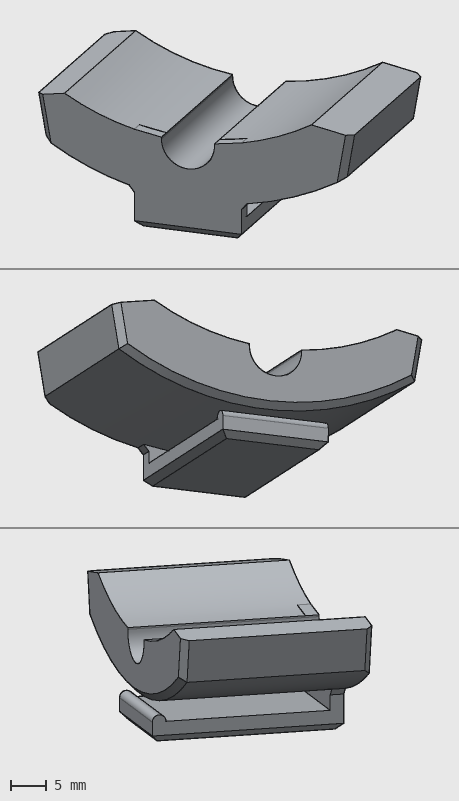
import cadquery as cq
import math

width = 47.35
length = 28.0
height = 18.6
edge_chamfer = 1.0
end_lean = 10.0
inner_radius = 37.5
peak_half_span = 18.5
left_rim = 4.3
left_end_height = 6.3
right_end_height = 6.35
outer_radius = 42.85
outer_centre_x = 1.3
outer_bottom_z = 4.95

groove_radius = 4.0
groove_centre_z = 13.7

clip_width = 16.1
clip_half_width = clip_width / 2
wall_thickness = 2.0
tongue_thickness = 3.0
bead_radius = 1.0
root_bevel = 0.8

inner_centre_z = height + math.sqrt(inner_radius**2 - peak_half_span**2)
outer_centre_z = outer_bottom_z + outer_radius
lean_cos = math.cos(math.radians(end_lean))
lean_sin = math.sin(math.radians(end_lean))
right_rim = (width - 2 * peak_half_span) / lean_cos - left_rim


def inner_z(x):
    """Height of the concave face at x."""
    return inner_centre_z - math.sqrt(inner_radius**2 - x**2)


def outer_z(x):
    """Height of the convex face at x."""
    return outer_centre_z - math.sqrt(outer_radius**2 - (x - outer_centre_x) ** 2)


def end_corners(side, rim, end_height):
    """Upper and lower corner of a leaning end; side is -1 (left) or 1 (right)."""
    upper_x = side * (peak_half_span + rim * lean_cos)
    upper_z = height - rim * lean_sin
    lower_x = upper_x - side * end_height * lean_sin
    return (upper_x, upper_z), (lower_x, outer_z(lower_x))


def extrude_back(profile, depth):
    """Extrude an XZ profile from the -Y face (y = 0) toward +Y."""
    return profile.extrude(-depth)


def make_saddle():
    left_upper, left_lower = end_corners(-1, left_rim, left_end_height)
    right_upper, right_lower = end_corners(1, right_rim, right_end_height)
    profile = (
        cq.Workplane("XZ")
        .moveTo(*left_upper)
        .lineTo(-peak_half_span, height)
        .threePointArc((0, inner_z(0)), (peak_half_span, height))
        .lineTo(*right_upper)
        .lineTo(*right_lower)
        .threePointArc((outer_centre_x, outer_bottom_z), left_lower)
        .close()
    )
    saddle = extrude_back(profile, length)

    back_bottom = cq.selectors.NearestToPointSelector((outer_centre_x, length, outer_bottom_z))
    end_edges = []
    for upper, lower in ((left_upper, left_lower), (right_upper, right_lower)):
        middle_x = (upper[0] + lower[0]) / 2
        middle_z = (upper[1] + lower[1]) / 2
        for y in (0, length):
            end_edges.append(cq.selectors.NearestToPointSelector((middle_x, y, middle_z)))
    selector = back_bottom
    for end_edge in end_edges:
        selector = selector + end_edge
    return saddle.edges(selector).chamfer(edge_chamfer)


def make_wall():
    """End wall whose flat top lands are chords of the concave face."""
    profile = (
        cq.Workplane("XZ")
        .moveTo(-clip_half_width, 0)
        .lineTo(clip_half_width, 0)
        .lineTo(clip_half_width, inner_z(clip_half_width))
        .lineTo(groove_radius, inner_z(groove_radius))
        .lineTo(-groove_radius, inner_z(groove_radius))
        .lineTo(-clip_half_width, inner_z(clip_half_width))
        .close()
    )
    return extrude_back(profile, wall_thickness)


def make_tongue():
    tongue = cq.Workplane("XY").box(clip_width, length, tongue_thickness, centered=(True, False, False))
    bead = (
        cq.Workplane("YZ", origin=(-clip_half_width, 0, 0))
        .center(length - bead_radius, tongue_thickness)
        .circle(bead_radius)
        .extrude(clip_width)
    )
    return tongue.union(bead)


def bevelled_clip_envelope():
    """Block around the clip, bevelled all around its underside."""
    envelope = cq.Workplane("XY").box(clip_width, length, height, centered=(True, False, False))
    return envelope.faces("<Z").edges().chamfer(edge_chamfer)


def make_groove():
    round_bottom = cq.Workplane("XZ").center(0, groove_centre_z).circle(groove_radius)
    open_top = cq.Workplane("XZ").center(0, groove_centre_z + height / 2).rect(2 * groove_radius, height)
    return extrude_back(round_bottom, length).union(extrude_back(open_top, length))


def bevel_wall_roots(body):
    """Bevel the corners between both sides of the wall and the convex face."""
    selector = None
    for x in (-clip_half_width, clip_half_width):
        root = cq.selectors.NearestToPointSelector((x, wall_thickness / 2, outer_z(x)))
        selector = root if selector is None else selector + root
    return body.edges(selector).chamfer(root_bevel)


clip = make_wall().union(make_tongue()).intersect(bevelled_clip_envelope())
body = bevel_wall_roots(make_saddle().union(clip))
result = body.cut(make_groove())